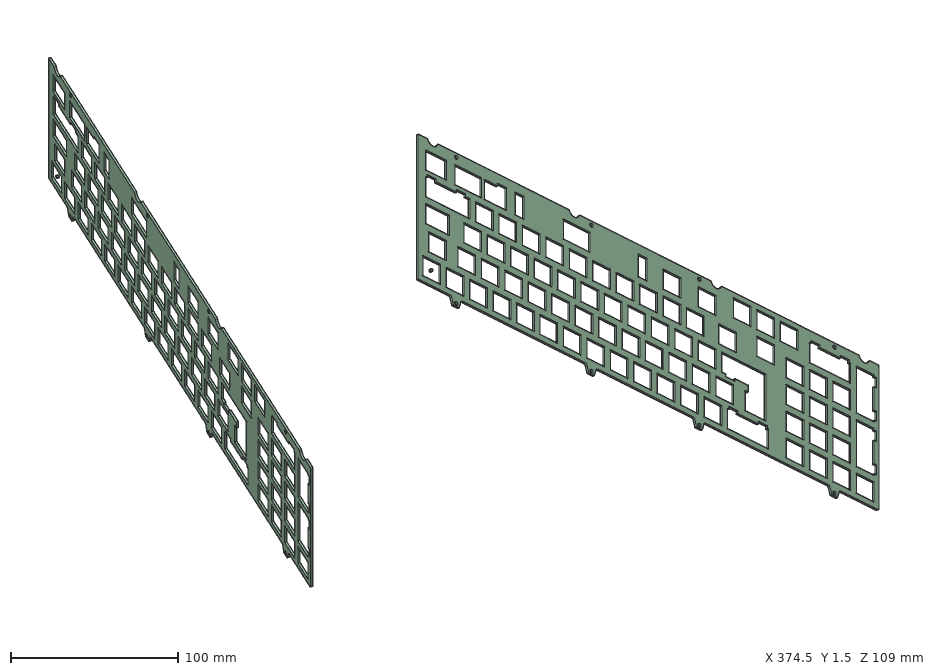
import cadquery as cq
import math

plate_length = 374.5
overall_height = 109.0
thickness = 1.5
plate_top = overall_height / 2
tab_tip = -overall_height / 2
plate_bottom = -48.5
corner_radius = 1.0

last_column = 18.5
first_to_last_span = 352.5
key_pitch = first_to_last_span / last_column
first_key_x = -first_to_last_span / 2
first_row_z = -37.5
key_opening = 14.2

stabilizer_width = 7.0
stabilizer_reach = 2.0
long_key_spacing = 24.0
space_bar_spacing = 100.0
slot_length = key_opening + stabilizer_reach

fastener_center_x = -2.5
inner_fastener_spacing = 87.5
outer_fastener_spacing = 307.5
fastener_x = [
    fastener_center_x + side * spacing / 2
    for spacing in (inner_fastener_spacing, outer_fastener_spacing)
    for side in (-1, 1)
]
fastener_hole_diameter = 2.5
tab_tip_width = 5.0
tab_root_width = 8.2
tab_hole_z = plate_bottom - 3.7
tab_root_radius = 1.5
top_hole_z = plate_top - 3.0

notch_x = [-175.3, -60.3, 55.0, 175.3]
notch_radius = 4.0
notch_depth = 3.5
notch_center_z = plate_top - notch_depth + notch_radius
notch_mouth_width = 2 * math.sqrt(notch_radius**2 - (notch_center_z - plate_top) ** 2)
notch_lip_radius = 1.0

pin_diameter = 2.0

number_pad_columns = [15.5, 16.5, 17.5]
single_keys = {
    0: list(range(13)) + number_pad_columns + [last_column],
    1: [0.25] + [1.5 + i for i in range(12)] + number_pad_columns,
    2: [1.75 + i for i in range(11)] + number_pad_columns,
    3: [2.25 + i for i in range(10)] + [12.625] + number_pad_columns,
    4: [2.625, 10.25, 11.75],
    3.25: [14.25],
    4.25: [13.25, 14.25, 15.25],
}

wide_keys = [
    (0, 13, 14),
    (1, 13.75, 13.875),
    (2, 0.125, 0.375),
    (2, 12.75, 13.875),
    (3, 0.125, 1.25),
    (4, 0.125, 0.25),
    (4, 1.375, 1.75),
    (4, 6, 6.375),
    (4, 16.5, 17.5),
]
enter_column = 13.875

stabilized_keys = [(13.5, 0, 1), (0.625, 3, 1), (17, 4, 1), (13.375, 2, -1)]
tall_key_rows = [1.5, 3.5]
space_bar_row = 4
space_bar_column = 6.375
long_space_bar_stabilizer_column = 3


def column_x(column):
    return first_key_x + column * key_pitch


def row_z(row):
    return first_row_z + row * key_pitch


def sheet(outline):
    """Thicken a closed outline evenly to both sides of the XZ plane."""
    return outline.extrude(thickness / 2, both=True)


def block(x, z, width, height):
    return sheet(cq.Workplane("XZ").center(x, z).rect(width, height))


def disc(x, z, diameter):
    return sheet(cq.Workplane("XZ").center(x, z).circle(diameter / 2))


def key_run(left_column, right_column, low_row, high_row):
    """Opening for a key that can sit anywhere between two grid places."""
    return block(
        column_x((left_column + right_column) / 2),
        row_z((low_row + high_row) / 2),
        (right_column - left_column) * key_pitch + key_opening,
        (high_row - low_row) * key_pitch + key_opening,
    )


def stabilizer_slot(x, row, side=1):
    """Slot over the height of a row that reaches past the key opening on one side."""
    return block(x, row_z(row) + side * stabilizer_reach / 2, stabilizer_width, slot_length)


def tab(x):
    """Tapered tab below the bottom edge."""
    corners = [
        (x - tab_root_width / 2, plate_bottom),
        (x - tab_tip_width / 2, tab_tip),
        (x + tab_tip_width / 2, tab_tip),
        (x + tab_root_width / 2, plate_bottom),
    ]
    return sheet(cq.Workplane("XZ").polyline(corners).close())


def make_blank():
    """Plate outline with tabs, notches and rounded right corners."""
    blank = block(0, (plate_top + plate_bottom) / 2, plate_length, plate_top - plate_bottom)
    blank = blank.edges("|Y and >X").fillet(corner_radius)
    for x in fastener_x:
        blank = blank.union(tab(x))
    for x in notch_x:
        blank = blank.cut(disc(x, notch_center_z, 2 * notch_radius))
    for x in fastener_x:
        blank = fillet_corners(blank, x, plate_bottom, tab_root_width, tab_root_radius)
    for x in notch_x:
        blank = fillet_corners(blank, x, plate_top, notch_mouth_width, notch_lip_radius)
    return blank


def fillet_corners(body, x, z, width, radius):
    """Round the two corners that lie at height z, a width apart and centered on x."""
    margin = 0.5
    corner_a = (x - width / 2 - margin, -thickness, z - margin)
    corner_b = (x + width / 2 + margin, thickness, z + margin)
    return body.edges("|Y").edges(cq.selectors.BoxSelector(corner_a, corner_b)).fillet(radius)


def key_openings():
    openings = [key_run(c, c, row, row) for row, columns in single_keys.items() for c in columns]
    openings += [key_run(first, last, row, row) for row, first, last in wide_keys]
    openings.append(key_run(enter_column, enter_column, 1, 2))
    return openings


def stabilizer_openings():
    openings = []
    for column, row, side in stabilized_keys:
        for offset in (-long_key_spacing / 2, long_key_spacing / 2):
            openings.append(stabilizer_slot(column_x(column) + offset, row, side))
    for offset in (-space_bar_spacing / 2, space_bar_spacing / 2):
        openings.append(stabilizer_slot(column_x(space_bar_column) + offset, space_bar_row))
    openings.append(stabilizer_slot(column_x(long_space_bar_stabilizer_column), space_bar_row))
    return openings


def tall_key_openings():
    """Two-row keys of the last column, with stabilizer clearances on their right side."""
    openings = []
    for row in tall_key_rows:
        openings.append(key_run(last_column, last_column, row - 0.5, row + 0.5))
        x = column_x(last_column) + stabilizer_reach / 2
        for offset in (-long_key_spacing / 2, long_key_spacing / 2):
            openings.append(block(x, row_z(row) + offset, slot_length, stabilizer_width))
    return openings


def fastener_holes():
    return [disc(x, z, fastener_hole_diameter) for x in fastener_x for z in (tab_hole_z, top_hole_z)]


def make_plate():
    openings = key_openings() + stabilizer_openings() + tall_key_openings() + fastener_holes()
    cutters = [opening.val() for opening in openings]
    return cq.Workplane(make_blank().val().cut(*cutters)).solids()


def make_pin():
    return disc(column_x(0), row_z(0), pin_diameter)


plate = make_plate()
pin = make_pin()

result = cq.Compound.makeCompound([plate.val(), pin.val()])